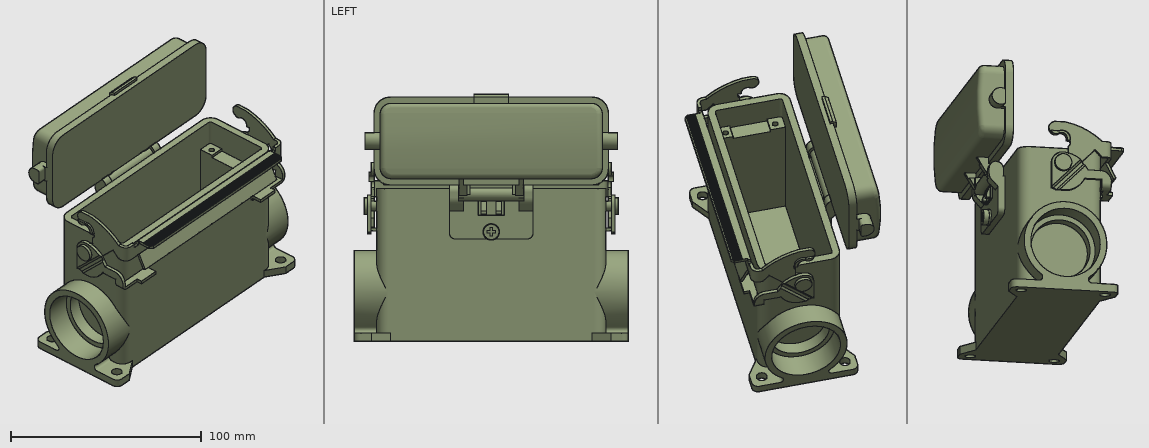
import cadquery as cq
import math

LENGTH = 144.0
HALF_LENGTH = LENGTH / 2
OVERLAP = 1.5

HOUSING_X = 44.4
HOUSING_Y = 120.2
HOUSING_Z = 80.2
HOUSING_CORNER = 5.9
WALL = 4.0
CAVITY_CORNER = 1.5
FLOOR = 4.3
LEDGE_Z = 64.8
LEDGE_Y = 7.8
PAD_X = 8.0
PAD_RISE = 1.5
PAD_HOLE_RADIUS = 1.5
PAD_HOLE_DEPTH = 8.6
PAD_HOLE_X = 13.4
PAD_HOLE_Y = 51.8

FOOT_X = 57.2
FOOT_THICKNESS = 4.3
FOOT_CORNER = 3.3
FOOT_STRAIGHT_Y = 9.2
FOOT_TAPER_Y = 19.2
FOOT_HOLE_X = 22.5
FOOT_HOLE_Y = 65.7
FOOT_HOLE_RADIUS = 2.7

ENTRY_Z = 25.6
ENTRY_RADIUS = 22.2
ENTRY_ROOT_Y = 53.3
BORE_RADIUS = 18.6
BORE_DEPTH = 13.2
INNER_BORE_RADIUS = 15.8
INNER_BORE_DEPTH = 20.2
FOOT_FILLET = 1.9

LID_Z = 105.1
LID_FACE_X = -25.6
RIM_THICKNESS = 4.3
RIM_Y = 123.1
RIM_Z = 46.2
RIM_CORNER = 8.6
RIM_X = LID_FACE_X - RIM_THICKNESS
SHELL_Y = 116.6
SHELL_Z = 39.6
SHELL_CORNER = 5.8
SHELL_FILLET = 2.9
CROWN_X = -44.2
CROWN_RISE = 1.7
PEG_RADIUS = 4.5
PEG_X = -33.7
PEG_FLAT_X = -31.0
PEG_FLAT_CORNER = 1.5
PEG_END_Y = 66.2
CLIP_Y = 18.3
CLIP_TOP_Z = 129.7
CLIP_REACH = 1.7
CLIP_SLOPE_X = 0.3

HINGE_X = -26.6
HINGE_Z = 78.2
HINGE_RADIUS = 3.9
HINGE_PLATE_Y = 43.9
HINGE_PLATE_X = -25.8
HINGE_PLATE_BOTTOM_Z = 53.7
HINGE_PLATE_CORNER = 3.2
HINGE_BACK_X = -22.9
BARREL_Y = 34.3
BARREL_X = -27.2
BARREL_Z = 77.0
BARREL_RADIUS = 3.5
KNUCKLE_FOOT_Y = 14.7
KNUCKLE_FOOT_Z = 73.7
KNUCKLE_BOTTOM_Z = 68.4
ARM_INNER_Y = 14.7
ARM_OUTER_Y = 16.8
ARM_TOP_X = -36.0
ARM_BOTTOM_X = -30.5
ARM_BOTTOM_Z = 76.3
ARM_FOOT_INNER_Y = 12.7
ARM_STEP_INNER_Y = 11.1
ARM_STEP_X = -31.1
SPRING_Y = 13.8
SPRING_X = -26.8
SPRING_TOP_Z = 74.3
SPRING_EDGE = 0.6
SPRING_BOTTOM_Z = 66.0
TAB_X = -28.7
TAB_TOP_Z = 73.5
TAB_CREST_Z = 68.5
TAB_BOTTOM_Z = 67.0
TAB_Y = 2.9
TAB_CENTRE_Y = 4.0
SCREW_Z = 57.5
SCREW_RADIUS = 4.0
WASHER_RADIUS = 4.3
WASHER_THICKNESS = 1.0
SCREW_HEAD_X = -29.7
CROSS_LENGTH = 4.5
CROSS_WIDTH = 1.3
CROSS_DEPTH = 1.5

PIVOT_Z = 71.0
PIVOT_PIN_RADIUS = 2.6
PIVOT_HEAD_RADIUS = 4.5
PIVOT_HEAD_Y = 66.7
SHEET = 1.7
LEVER_INNER_Y = 61.3
LEVER_OUTER_Y = LEVER_INNER_Y + SHEET
LEVER_BEND = 3.7
LEVER_BACK_X = 27.0
LEVER_BAR_TOP_Z = 84.4
LEVER_BAR_BOTTOM_Z = 75.9
HOOK_LIP_Y = 64.2
HOOK_MOUTH = (2.5, 83.8)
HOOK_CROWN = (1.5, 87.0)
HOOK_TIP = (-1.6, 87.5)
LIP_ROOT_X = 4.2
BAR_NOTCH_Y = 53.5
BAR_NOTCH_WIDTH = 2.9
BAR_NOTCH_DEPTH = 2.2
HANDLE_END_X = 35.4
HANDLE_Y = 105.5
HANDLE_CORNER = 1.5
GROOVE_START_X = 29.7
GROOVE_PITCH = 0.6
GROOVE_WIDTH = 0.3
GROOVE_DEPTH = 0.3
GROOVE_COUNT = 9
SKIRT_THICKNESS = 1.5
SKIRT_LENGTH = 10.0
SKIRT_TILT = 27.0

CAM_INNER_Y = LEVER_OUTER_Y
CAM_OUTER_Y = 65.0
CAM_RADIUS = 5.9
CAM_TROUGH_OFFSET = 60.9
CAM_TROUGH_WIDTH = 4.0
CAM_TROUGH_FLOOR = 1.7
CAM_TROUGH_DEPTH = 0.9
CAM_TROUGH_X = 2.9
CAM_BOTTOM_Z = 56.5
CAM_SIDE_Z = 57.5
CAM_ARM_TOP_Z = 67.8
CAM_ARM_BOTTOM_Z = 63.2
CAM_TIP_X = 21.0
CAM_TIP_END_X = 26.0
CAM_TIP_BOTTOM_Z = 57.9
CAM_TIP_BEND = 3.2
STRIP_X = 22.5
STRIP_INNER_Y = 42.0
STRIP_OUTER_Y = 53.5
STRIP_WIDTH = 6.6
STRIP_LIP_X = 1.0


def block(x0, x1, y0, y1, z0, z1):
    """Axis-aligned box between two opposite corners."""
    return cq.Workplane("XY").box(x1 - x0, y1 - y0, z1 - z0, centered=False).translate((x0, y0, z0))


def slab(outline, y0, y1):
    """Extrude a closed outline of the XZ plane from y0 to y1."""
    return outline.extrude(y0 - y1).translate((0, y0, 0))


def xz_polygon(points):
    """Closed polygon on the XZ plane."""
    return cq.Workplane("XZ").polyline(points).close()


def xz_disc(x, z, radius, y0, y1):
    """Cylinder along Y from y0 to y1."""
    return slab(cq.Workplane("XZ").center(x, z).circle(radius), y0, y1)


def both_ends(body):
    """The body together with its mirror image across the XZ plane."""
    return body.union(body.mirror("XZ"))


def mounting_foot():
    half_x = FOOT_X / 2
    wall_x = HOUSING_X / 2
    straight_y = HALF_LENGTH - FOOT_STRAIGHT_Y
    taper_y = HALF_LENGTH - FOOT_TAPER_Y
    outline = [
        (-wall_x, taper_y), (-half_x, straight_y), (-half_x, HALF_LENGTH),
        (half_x, HALF_LENGTH), (half_x, straight_y), (wall_x, taper_y),
    ]
    foot = cq.Workplane("XY").polyline(outline).close().extrude(FOOT_THICKNESS)
    foot = foot.edges("|Z and >Y").fillet(FOOT_CORNER)
    holes = (
        cq.Workplane("XY")
        .pushPoints([(-FOOT_HOLE_X, FOOT_HOLE_Y), (FOOT_HOLE_X, FOOT_HOLE_Y)])
        .circle(FOOT_HOLE_RADIUS)
        .extrude(FOOT_THICKNESS)
    )
    return foot.cut(holes)


def entry_neck():
    """Web joining the cable entry to its foot, with a hollow fillet on each side."""
    top = FOOT_THICKNESS
    fillet_z = top + FOOT_FILLET
    reach = ENTRY_RADIUS + FOOT_FILLET
    fillet_x = math.sqrt(reach ** 2 - (ENTRY_Z - fillet_z) ** 2)
    tangent_x = fillet_x * ENTRY_RADIUS / reach
    tangent_z = ENTRY_Z - (ENTRY_Z - fillet_z) * ENTRY_RADIUS / reach
    waist_x = fillet_x - FOOT_FILLET
    outline = (
        cq.Workplane("XZ")
        .moveTo(-tangent_x, tangent_z)
        .threePointArc((-waist_x, fillet_z), (-fillet_x, top))
        .lineTo(fillet_x, top)
        .threePointArc((waist_x, fillet_z), (tangent_x, tangent_z))
        .lineTo(0, ENTRY_Z)
        .close()
    )
    return slab(outline, ENTRY_ROOT_Y, HALF_LENGTH)


def cable_entry():
    return xz_disc(0, ENTRY_Z, ENTRY_RADIUS, ENTRY_ROOT_Y, HALF_LENGTH).union(entry_neck())


def entry_bore():
    outer = xz_disc(0, ENTRY_Z, BORE_RADIUS, HALF_LENGTH - BORE_DEPTH, HALF_LENGTH)
    return outer.union(xz_disc(0, ENTRY_Z, INNER_BORE_RADIUS, HALF_LENGTH - INNER_BORE_DEPTH, HALF_LENGTH))


def housing_cavity():
    cavity_x = HOUSING_X - 2 * WALL
    cavity_y = HOUSING_Y - 2 * WALL
    upper = (
        cq.Workplane("XY")
        .workplane(offset=LEDGE_Z)
        .rect(cavity_x, cavity_y)
        .extrude(HOUSING_Z - LEDGE_Z)
        .edges("|Z")
        .fillet(CAVITY_CORNER)
    )
    lower_half_y = cavity_y / 2 - LEDGE_Y
    lower = block(-cavity_x / 2, cavity_x / 2, -lower_half_y, lower_half_y, FLOOR, LEDGE_Z)
    cavity = upper.union(lower)
    pad_top = LEDGE_Z + PAD_RISE
    for side in (-1, 1):
        for end in (-1, 1):
            inner_x = side * (cavity_x / 2 - PAD_X)
            outer_x = side * HOUSING_X / 2
            inner_y = end * lower_half_y
            outer_y = end * HOUSING_Y / 2
            pad = block(
                min(inner_x, outer_x), max(inner_x, outer_x),
                min(inner_y, outer_y), max(inner_y, outer_y), LEDGE_Z, pad_top,
            )
            hole = (
                cq.Workplane("XY")
                .workplane(offset=pad_top - PAD_HOLE_DEPTH)
                .center(side * PAD_HOLE_X, end * PAD_HOLE_Y)
                .circle(PAD_HOLE_RADIUS)
                .extrude(PAD_HOLE_DEPTH)
            )
            cavity = cavity.cut(pad).union(hole)
    return cavity


def housing():
    body = cq.Workplane("XY").rect(HOUSING_X, HOUSING_Y).extrude(HOUSING_Z)
    body = body.edges("|Z").fillet(HOUSING_CORNER)
    body = body.union(both_ends(mounting_foot().union(cable_entry())))
    return body.cut(both_ends(entry_bore())).cut(housing_cavity())


def lid_shell():
    """Rounded box whose outer face is crowned across its height."""
    block_x = RIM_X - CROWN_X
    shell = (
        cq.Workplane("YZ")
        .workplane(offset=CROWN_X)
        .center(0, LID_Z)
        .rect(SHELL_Y, SHELL_Z)
        .extrude(block_x)
        .edges("|X")
        .fillet(SHELL_CORNER)
    )
    edge_x = CROWN_X + CROWN_RISE
    half_z = SHELL_Z / 2
    crowned = (
        cq.Workplane("XZ")
        .moveTo(edge_x, LID_Z - half_z)
        .threePointArc((CROWN_X, LID_Z), (edge_x, LID_Z + half_z))
        .lineTo(RIM_X, LID_Z + half_z)
        .lineTo(RIM_X, LID_Z - half_z)
        .close()
    )
    shell = shell.intersect(slab(crowned, -SHELL_Y / 2, SHELL_Y / 2))
    return shell.faces("<X").edges().fillet(SHELL_FILLET)


def lid_rim():
    rim = cq.Workplane("YZ").workplane(offset=RIM_X).center(0, LID_Z).rect(RIM_Y, RIM_Z)
    return rim.extrude(RIM_THICKNESS).edges("|X").fillet(RIM_CORNER)


def lid_peg():
    """Locking peg with a flat towards the rim, backed by a short block."""
    root_y = SHELL_Y / 2 - OVERLAP
    half_block = block(PEG_X, PEG_FLAT_X, root_y, PEG_END_Y, LID_Z - PEG_RADIUS, LID_Z + PEG_RADIUS)
    half_block = half_block.edges("|Y and >X").fillet(PEG_FLAT_CORNER)
    round_half = xz_disc(PEG_X, LID_Z, PEG_RADIUS, root_y, PEG_END_Y)
    round_half = round_half.intersect(
        block(PEG_X - PEG_RADIUS, PEG_X, root_y, PEG_END_Y, LID_Z - PEG_RADIUS, LID_Z + PEG_RADIUS)
    )
    backing = block(PEG_X, RIM_X, root_y, RIM_Y / 2, LID_Z - PEG_RADIUS, LID_Z + PEG_RADIUS)
    return round_half.union(half_block).union(backing)


def lid_clip():
    shell_top = LID_Z + SHELL_Z / 2
    rim_top = LID_Z + RIM_Z / 2
    outline = xz_polygon([
        (RIM_X - CLIP_REACH, shell_top - OVERLAP), (RIM_X - CLIP_REACH, rim_top),
        (RIM_X + CLIP_SLOPE_X, CLIP_TOP_Z), (RIM_X + CLIP_REACH, CLIP_TOP_Z),
        (RIM_X + CLIP_REACH, shell_top - OVERLAP),
    ])
    return slab(outline, -CLIP_Y / 2, CLIP_Y / 2)


def lid_hinge_arm():
    """Sloping arm from the lid to the hinge barrel, with a foot turned inwards."""
    shell_bottom = LID_Z - SHELL_Z / 2
    rim_bottom = LID_Z - RIM_Z / 2
    slope = (ARM_TOP_X - ARM_BOTTOM_X) / (shell_bottom - ARM_BOTTOM_Z)
    foot_top_x = ARM_BOTTOM_X + slope * (rim_bottom - ARM_BOTTOM_Z)
    arm = xz_polygon([
        (ARM_TOP_X, shell_bottom + OVERLAP), (ARM_TOP_X, shell_bottom), (ARM_BOTTOM_X, ARM_BOTTOM_Z),
        (HINGE_X, ARM_BOTTOM_Z), (HINGE_X, rim_bottom + OVERLAP), (RIM_X, shell_bottom + OVERLAP),
    ])
    arm = slab(arm, ARM_INNER_Y, ARM_OUTER_Y)
    foot = xz_polygon([
        (foot_top_x, rim_bottom), (ARM_BOTTOM_X, ARM_BOTTOM_Z),
        (HINGE_X, ARM_BOTTOM_Z), (HINGE_X, rim_bottom),
    ])
    step = block(ARM_STEP_X, BARREL_X, ARM_STEP_INNER_Y, ARM_FOOT_INNER_Y, BARREL_Z, rim_bottom)
    return arm.union(slab(foot, ARM_FOOT_INNER_Y, ARM_INNER_Y)).union(step)


def lid():
    body = lid_shell().union(lid_rim()).union(lid_clip())
    body = body.union(both_ends(lid_peg().union(lid_hinge_arm())))
    return body.union(xz_disc(BARREL_X, BARREL_Z, BARREL_RADIUS, -BARREL_Y / 2, BARREL_Y / 2))


def hinge_knuckle():
    """Outer hinge knuckle, running down a slope into the plate."""
    front_x = HINGE_X - HINGE_RADIUS
    outline = (
        cq.Workplane("XZ")
        .moveTo(front_x, HINGE_Z)
        .threePointArc((HINGE_X, HINGE_Z + HINGE_RADIUS), (HINGE_BACK_X, HINGE_Z))
        .lineTo(HINGE_BACK_X, KNUCKLE_BOTTOM_Z)
        .lineTo(HINGE_PLATE_X, KNUCKLE_BOTTOM_Z)
        .lineTo(-29.2, 71.9)
        .threePointArc((-30.1, 73.2), (front_x, 75.2))
        .close()
    )
    knuckle = slab(outline, KNUCKLE_FOOT_Y, HINGE_PLATE_Y / 2)
    barrel_gap = block(
        front_x, HINGE_BACK_X, KNUCKLE_FOOT_Y, BARREL_Y / 2, KNUCKLE_FOOT_Z, HINGE_Z + HINGE_RADIUS
    )
    return knuckle.cut(barrel_gap)


def hinge_plate():
    half_y = HINGE_PLATE_Y / 2
    plate = block(HINGE_PLATE_X, -HOUSING_X / 2, -half_y, half_y, HINGE_PLATE_BOTTOM_Z, SPRING_TOP_Z)
    plate = plate.edges("|X and <Z").fillet(HINGE_PLATE_CORNER)
    spring = block(SPRING_X, HINGE_PLATE_X, -SPRING_Y / 2, SPRING_Y / 2, SPRING_BOTTOM_Z, SPRING_TOP_Z)
    spring = spring.edges("|X and <Z").fillet(SPRING_EDGE).faces("<X").edges().chamfer(SPRING_EDGE / 2)
    tab = xz_polygon([
        (SPRING_X, TAB_TOP_Z), (TAB_X, TAB_CREST_Z), (TAB_X, TAB_BOTTOM_Z), (SPRING_X, TAB_BOTTOM_Z),
    ])
    tab = slab(tab, TAB_CENTRE_Y - TAB_Y / 2, TAB_CENTRE_Y + TAB_Y / 2)
    return plate.union(spring).union(both_ends(tab)).union(both_ends(hinge_knuckle()))


def hinge_screw():
    head = (
        cq.Workplane("YZ")
        .workplane(offset=SCREW_HEAD_X)
        .center(0, SCREW_Z)
        .circle(SCREW_RADIUS)
        .extrude(HINGE_PLATE_X - SCREW_HEAD_X)
    )
    for size in ((CROSS_LENGTH, CROSS_WIDTH), (CROSS_WIDTH, CROSS_LENGTH)):
        slot = cq.Workplane("YZ").workplane(offset=SCREW_HEAD_X).center(0, SCREW_Z).rect(*size)
        head = head.cut(slot.extrude(CROSS_DEPTH))
    washer = (
        cq.Workplane("YZ")
        .workplane(offset=HINGE_PLATE_X - WASHER_THICKNESS)
        .center(0, SCREW_Z)
        .circle(WASHER_RADIUS)
        .extrude(WASHER_THICKNESS)
    )
    return head.union(washer)


def lever_cheek():
    """Side plate with the hook at the front and the pivot at the bottom."""
    bend_x = LEVER_BACK_X - LEVER_BEND
    outline = (
        cq.Workplane("XZ")
        .moveTo(-3.3, 93.9)
        .lineTo(1.7, 93.9)
        .threePointArc((12.0, 90.7), (21.5, LEVER_BAR_TOP_Z))
        .lineTo(bend_x, LEVER_BAR_TOP_Z)
        .lineTo(bend_x, LEVER_BAR_BOTTOM_Z)
        .lineTo(21.3, LEVER_BAR_BOTTOM_Z)
        .lineTo(17.7, 79.6)
        .lineTo(-2.0, 59.9)
        .lineTo(-2.0, 64.8)
        .lineTo(0, 68.4)
        .lineTo(0, 74.9)
        .lineTo(3.5, 76.0)
        .lineTo(3.5, 80.8)
        .threePointArc((4.5, 82.4), (LIP_ROOT_X, HOOK_MOUTH[1]))
        .lineTo(*HOOK_MOUTH)
        .threePointArc(HOOK_CROWN, HOOK_TIP)
        .threePointArc((-6.9, 89.7), (-3.3, 93.9))
        .close()
    )
    return slab(outline, LEVER_INNER_Y, LEVER_OUTER_Y)


def hook_lip():
    """Raised lip along the inside of the hook."""
    outline = (
        cq.Workplane("XZ")
        .moveTo(*HOOK_MOUTH)
        .threePointArc(HOOK_CROWN, HOOK_TIP)
        .threePointArc((-4.2, 86.8), (-6.0, 88.5))
        .lineTo(-1.9, 88.5)
        .threePointArc((2.6, 88.0), (LIP_ROOT_X, HOOK_MOUTH[1]))
        .close()
    )
    return slab(outline, LEVER_INNER_Y, HOOK_LIP_Y)


def lever_bar():
    """Bar across the +X side, bent round into the two cheeks."""
    height = LEVER_BAR_TOP_Z - LEVER_BAR_BOTTOM_Z
    start_x = LEVER_BACK_X - LEVER_BEND
    depth = 2 * LEVER_BEND
    bar = (
        cq.Workplane("XY")
        .workplane(offset=LEVER_BAR_BOTTOM_Z)
        .center(LEVER_BACK_X - depth / 2, 0)
        .rect(depth, 2 * LEVER_OUTER_Y)
        .extrude(height)
        .edges("|Z and >X")
        .fillet(LEVER_BEND)
    )
    inside = (
        cq.Workplane("XY")
        .workplane(offset=LEVER_BAR_BOTTOM_Z)
        .center(LEVER_BACK_X - SHEET - depth / 2, 0)
        .rect(depth, 2 * LEVER_INNER_Y)
        .extrude(height)
        .edges("|Z and >X")
        .fillet(LEVER_BEND - SHEET)
    )
    bar = bar.cut(inside).intersect(
        block(start_x, LEVER_BACK_X, -LEVER_OUTER_Y, LEVER_OUTER_Y, LEVER_BAR_BOTTOM_Z, LEVER_BAR_TOP_Z)
    )
    notch = block(
        start_x, LEVER_BACK_X, BAR_NOTCH_Y, BAR_NOTCH_Y + BAR_NOTCH_WIDTH,
        LEVER_BAR_TOP_Z - BAR_NOTCH_DEPTH, LEVER_BAR_TOP_Z,
    )
    bend_z = LEVER_BAR_TOP_Z - SHEET
    edge = block(LEVER_BACK_X - SHEET, LEVER_BACK_X, -BAR_NOTCH_Y, BAR_NOTCH_Y, bend_z, LEVER_BAR_TOP_Z)
    edge = edge.cut(xz_disc(LEVER_BACK_X, bend_z, SHEET, -BAR_NOTCH_Y, BAR_NOTCH_Y))
    return bar.cut(both_ends(notch)).cut(edge)


def lever_handle():
    """Grooved finger grip along the top of the bar."""
    half_y = HANDLE_Y / 2
    grip = block(
        LEVER_BACK_X, HANDLE_END_X, -half_y, half_y, LEVER_BAR_TOP_Z - SHEET, LEVER_BAR_TOP_Z
    )
    grip = grip.edges("|Z and >X").chamfer(HANDLE_CORNER)
    for index in range(GROOVE_COUNT):
        x = GROOVE_START_X + index * GROOVE_PITCH
        groove = block(x, x + GROOVE_WIDTH, -half_y, half_y, LEVER_BAR_TOP_Z - GROOVE_DEPTH, LEVER_BAR_TOP_Z)
        grip = grip.cut(groove)
    return grip


def lever_skirt():
    """Sloping plate hanging from the bottom of the bar."""
    half_y = HANDLE_Y / 2
    skirt = block(0, SKIRT_THICKNESS, -half_y, half_y, -SKIRT_LENGTH, 0)
    skirt = skirt.rotate((0, 0, 0), (0, 1, 0), -SKIRT_TILT)
    return skirt.translate((LEVER_BACK_X - SHEET, 0, LEVER_BAR_BOTTOM_Z))


def pivot():
    pin = xz_disc(0, PIVOT_Z, PIVOT_PIN_RADIUS, HOUSING_Y / 2 - OVERLAP, CAM_OUTER_Y)
    return pin.union(xz_disc(0, PIVOT_Z, PIVOT_HEAD_RADIUS, CAM_OUTER_Y, PIVOT_HEAD_Y))


def cam_outline():
    diagonal = CAM_RADIUS * math.sqrt(0.5)
    return (
        cq.Workplane("XZ")
        .moveTo(-CAM_RADIUS, CAM_SIDE_Z)
        .lineTo(-CAM_RADIUS, PIVOT_Z)
        .threePointArc((-diagonal, PIVOT_Z + diagonal), (0, PIVOT_Z + CAM_RADIUS))
        .threePointArc((5.8, 75.6), (10.2, 72.7))
        .lineTo(13.5, CAM_ARM_TOP_Z)
        .lineTo(CAM_TIP_X, CAM_ARM_TOP_Z)
        .threePointArc((24.8, 65.7), (CAM_TIP_END_X, 61.8))
        .lineTo(CAM_TIP_END_X, CAM_TIP_BOTTOM_Z)
        .lineTo(CAM_TIP_X, CAM_TIP_BOTTOM_Z)
        .lineTo(CAM_TIP_X, CAM_ARM_BOTTOM_Z)
        .lineTo(11.8, CAM_ARM_BOTTOM_Z)
        .threePointArc((7.9, 58.6), (3.2, CAM_BOTTOM_Z))
        .lineTo(-3.3, CAM_BOTTOM_Z)
        .close()
    )


def cam_trough():
    """Diagonal trapezoidal trough pressed into the outer face of the cam plate."""
    half_top = CAM_TROUGH_WIDTH / 2
    half_floor = CAM_TROUGH_FLOOR / 2
    floor_y = CAM_OUTER_Y - CAM_TROUGH_DEPTH
    reach = 2 * CAM_RADIUS
    section = cq.Workplane("YZ").polyline([
        (CAM_OUTER_Y, -half_top), (floor_y, -half_floor), (floor_y, half_floor), (CAM_OUTER_Y, half_top),
    ])
    bar = section.close().extrude(2 * reach).translate((-reach, 0, 0))
    bar = bar.rotate((0, 0, 0), (0, 1, 0), -45)
    return bar.translate((CAM_TROUGH_X, 0, CAM_TROUGH_X + CAM_TROUGH_OFFSET))


def cam_strip():
    """Tongue turned inwards from the cam tip, behind the housing, with a small lip."""
    top_z = CAM_TIP_BOTTOM_Z + SHEET
    root = block(CAM_TIP_X, CAM_TIP_END_X, HOUSING_Y / 2, CAM_OUTER_Y, CAM_TIP_BOTTOM_Z, top_z)
    link = block(STRIP_X, CAM_TIP_END_X, STRIP_OUTER_Y, HOUSING_Y / 2, CAM_TIP_BOTTOM_Z, top_z)
    tongue = block(
        STRIP_X, STRIP_X + STRIP_WIDTH, STRIP_INNER_Y, STRIP_OUTER_Y, CAM_TIP_BOTTOM_Z, top_z
    )
    lip = block(STRIP_X, STRIP_X + STRIP_LIP_X, STRIP_INNER_Y, STRIP_OUTER_Y, CAM_BOTTOM_Z, CAM_TIP_BOTTOM_Z)
    return root.union(link).union(tongue).union(lip)


def cam_plate():
    plate = slab(cam_outline(), CAM_INNER_Y, CAM_OUTER_Y).cut(cam_trough()).union(cam_strip())
    bend = block(
        CAM_TIP_X, CAM_TIP_END_X, CAM_OUTER_Y - CAM_TIP_BEND, CAM_OUTER_Y,
        CAM_TIP_BOTTOM_Z, CAM_TIP_BOTTOM_Z + CAM_TIP_BEND,
    )
    rounded = (
        cq.Workplane("YZ")
        .workplane(offset=CAM_TIP_X)
        .center(CAM_OUTER_Y - CAM_TIP_BEND, CAM_TIP_BOTTOM_Z + CAM_TIP_BEND)
        .circle(CAM_TIP_BEND)
        .extrude(CAM_TIP_END_X - CAM_TIP_X)
    )
    return plate.cut(bend.cut(rounded))


def locking_lever():
    side = lever_cheek().union(hook_lip()).union(cam_plate()).union(pivot())
    return both_ends(side).union(lever_bar()).union(lever_handle()).union(lever_skirt())


result = housing().union(hinge_plate()).union(hinge_screw()).union(lid()).union(locking_lever())